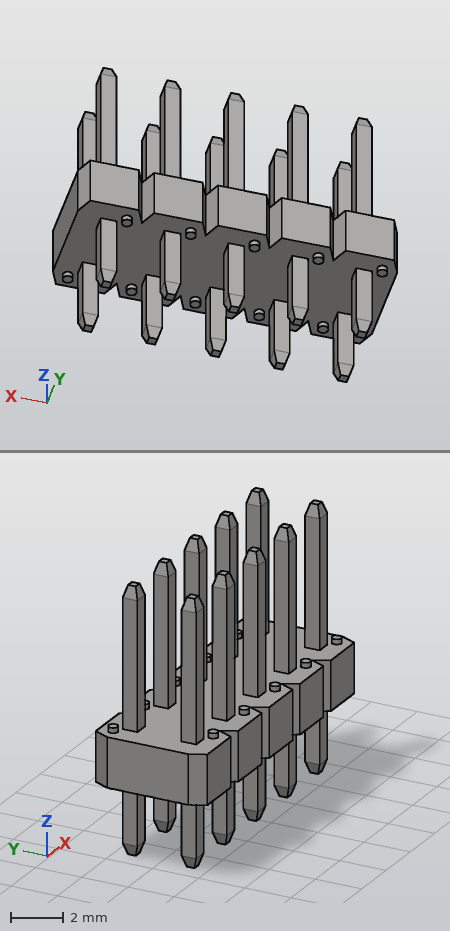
import cadquery as cq

pitch = 2.54
columns = 5
rows = 2

body_length = columns * pitch
body_width = 4.83
body_height = 2.12
notch_half_width = 0.3
notch_depth = 0.66

pin_side = 0.64
pin_tip_side = 0.33
pin_taper = 0.5
pin_length = 11.25
pin_below_body = 3.14

peg_diameter = 0.4
peg_height = 0.22
peg_x_offset = 0.66
peg_y = 1.82

column_xs = [(i - (columns - 1) / 2) * pitch for i in range(columns)]
row_ys = [(j - (rows - 1) / 2) * pitch for j in range(rows)]


def make_body():
    """Block with V-notches between columns and matching half-notches at the corners."""
    half_width = body_width / 2
    notch_bottom = half_width - notch_depth
    shoulder = pitch / 2 - notch_half_width

    back_edge = [(-body_length / 2, notch_bottom)]
    for x in column_xs:
        back_edge.append((x - shoulder, half_width))
        back_edge.append((x + shoulder, half_width))
        back_edge.append((x + pitch / 2, notch_bottom))
    front_edge = [(x, -y) for x, y in reversed(back_edge)]
    return cq.Workplane("XY").polyline(back_edge + front_edge).close().extrude(body_height)


def make_tip(base_z, tip_z):
    """Truncated pyramid from the pin section at base_z to the small end at tip_z."""
    return (
        cq.Workplane("XY", origin=(0, 0, base_z))
        .rect(pin_side, pin_side)
        .workplane(offset=tip_z - base_z)
        .rect(pin_tip_side, pin_tip_side)
        .loft(ruled=True)
    )


def make_pin():
    """Square pin on the Z axis, tapered at both ends."""
    bottom = -pin_below_body
    top = bottom + pin_length
    shank_bottom = bottom + pin_taper
    shank_top = top - pin_taper
    shank = (
        cq.Workplane("XY", origin=(0, 0, shank_bottom))
        .rect(pin_side, pin_side)
        .extrude(shank_top - shank_bottom)
    )
    return shank.union(make_tip(shank_top, top)).union(make_tip(shank_bottom, bottom))


def make_pegs():
    """Pegs through the body: left of the back-row pins and right of the front-row pins."""
    back_pegs = [(x - peg_x_offset, peg_y) for x in column_xs]
    front_pegs = [(x + peg_x_offset, -peg_y) for x in column_xs]
    return (
        cq.Workplane("XY", origin=(0, 0, -peg_height))
        .pushPoints(back_pegs + front_pegs)
        .circle(peg_diameter / 2)
        .extrude(body_height + 2 * peg_height)
    )


result = make_body().union(make_pegs())
pin = make_pin()
for pin_x in column_xs:
    for pin_y in row_ys:
        result = result.union(pin.translate((pin_x, pin_y, 0)))